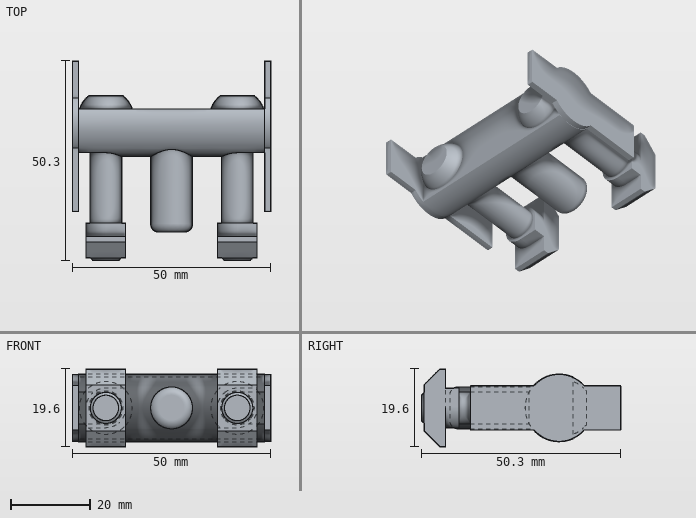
import cadquery as cq
import math


overall_length = 50.0
overall_depth = 50.25
plate_thickness = 1.55
plate_corner_fillet = 0.25
plate_disc_radius = 8.45
plate_height = 11.25
plate_back_y = 15.55
plate_front_y = -22.35

tube_radius = 8.55
tube_length = overall_length - 2 * plate_thickness
seat_y = 3.5

bolt_spacing = 33.15
bolt_radius = 4
bolt_tip_y = plate_back_y - overall_depth
bolt_tip_chamfer = 0.8
bolt_protrusion = 0.7
head_sphere_radius = 7.05
head_sphere_y = 1.25
head_top_y = 6.85

nut_size = 10.0
nut_back_y = -25.3
flange_back_y = -28.6
flange_rim = 1.45
nut_front_y = bolt_tip_y + bolt_protrusion
flange_height = 19.6

pin_radius = 5.3
pin_tip_y = -27.55
pin_tip_fillet = 2


def rod(radius, x, start_y, end_y):
    """Round rod parallel to Y, running from start_y toward -Y to end_y."""
    plane = cq.Workplane("XZ", origin=(x, start_y, 0))
    return plane.circle(radius).extrude(start_y - end_y)


def make_tube():
    tube = cq.Workplane("YZ").circle(tube_radius).extrude(tube_length / 2, both=True)
    seat_cutter = cq.Workplane("XY").box(
        tube_length, tube_radius, 2 * tube_radius, centered=(True, False, True)
    )
    tube = tube.cut(seat_cutter.translate((0, seat_y, 0)))

    flat_y = -math.sqrt(tube_radius**2 - bolt_radius**2)
    flat_length = (tube_length - bolt_spacing) / 2
    for side in (-1, 1):
        flat_cutter = cq.Workplane("XY").box(flat_length, tube_radius, 2 * bolt_radius)
        flat_x = side * (bolt_spacing + flat_length) / 2
        flat_cutter = flat_cutter.translate((flat_x, flat_y - tube_radius / 2, 0))
        tube = tube.cut(flat_cutter)
    return tube


def make_plate(side):
    """Flat bar with rounded corners and a round bulge over the tube end."""
    inner_face = cq.Workplane("YZ", origin=(side * tube_length / 2, 0, 0))
    bar_centre_y = (plate_back_y + plate_front_y) / 2
    bar = (
        inner_face.center(bar_centre_y, 0)
        .rect(plate_back_y - plate_front_y, plate_height)
        .extrude(side * plate_thickness)
    )
    bar = bar.edges("|X").fillet(plate_corner_fillet)
    disc = inner_face.circle(plate_disc_radius).extrude(side * plate_thickness)
    return bar.union(disc)


def make_bolt(x):
    shank = rod(bolt_radius, x, seat_y, bolt_tip_y).faces("<Y").chamfer(bolt_tip_chamfer)

    base_angle = math.asin((seat_y - head_sphere_y) / head_sphere_radius)
    top_angle = math.asin((head_top_y - head_sphere_y) / head_sphere_radius)

    def sphere_point(angle):
        return (
            head_sphere_radius * math.cos(angle),
            head_sphere_y + head_sphere_radius * math.sin(angle),
        )

    head = (
        cq.Workplane("XY")
        .moveTo(0, seat_y)
        .lineTo(*sphere_point(base_angle))
        .threePointArc(sphere_point((base_angle + top_angle) / 2), sphere_point(top_angle))
        .lineTo(0, head_top_y)
        .close()
        .revolve(360, (0, 0, 0), (0, 1, 0))
        .translate((x, 0, 0))
    )
    return shank.union(head)


def make_nut(x):
    """Neck with two square and two fully rounded opposite corners, on a flange with tapered sides."""
    neck_plane = cq.Workplane("XZ", origin=(x, nut_back_y, 0))
    half_size = nut_size / 2
    arc_offset = half_size * math.sqrt(0.5)
    neck = (
        neck_plane.moveTo(-half_size, 0)
        .threePointArc((-arc_offset, arc_offset), (0, half_size))
        .lineTo(half_size, half_size)
        .lineTo(half_size, 0)
        .threePointArc((arc_offset, -arc_offset), (0, -half_size))
        .lineTo(-half_size, -half_size)
        .close()
        .extrude(nut_back_y - flange_back_y)
    )

    taper = flange_back_y - flange_rim - nut_front_y
    half_height = flange_height / 2
    flange = (
        cq.Workplane("YZ", origin=(x, 0, 0))
        .polyline(
            [
                (flange_back_y, -half_height),
                (flange_back_y, half_height),
                (flange_back_y - flange_rim, half_height),
                (nut_front_y, half_height - taper),
                (nut_front_y, taper - half_height),
                (flange_back_y - flange_rim, -half_height),
            ]
        )
        .close()
        .extrude(nut_size / 2, both=True)
    )
    return neck.union(flange)


pin = rod(pin_radius, 0, 0, pin_tip_y).faces("<Y").edges().fillet(pin_tip_fillet)

result = make_tube().union(pin)
for side in (-1, 1):
    bolt_x = side * bolt_spacing / 2
    result = result.union(make_plate(side)).union(make_bolt(bolt_x)).union(make_nut(bolt_x))